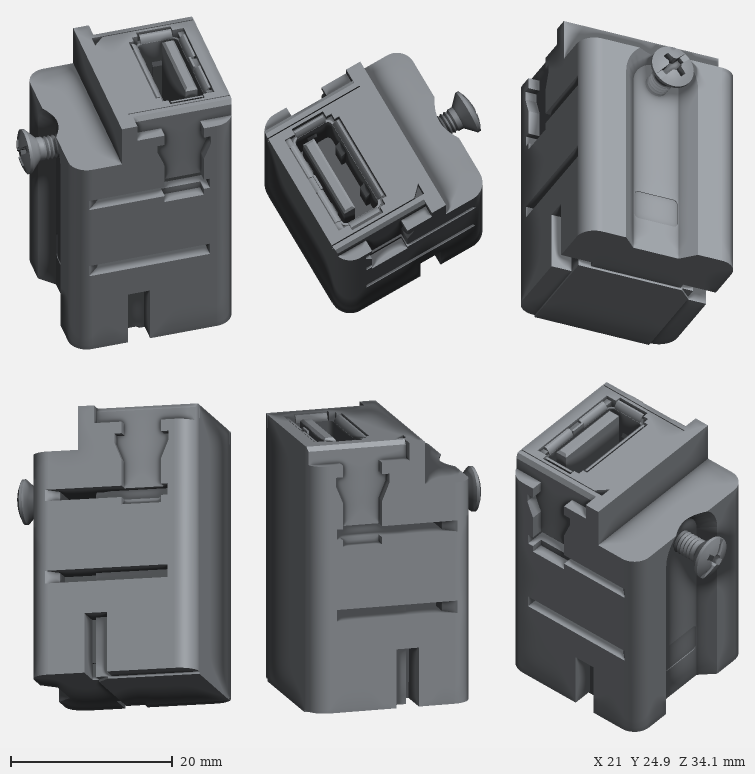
import cadquery as cq
import math

WIDTH = 21.0
HEIGHT = 34.1
DEPTH = 21.0
HALF_WIDTH = WIDTH / 2
BASE_Z = 0.3
STEP_Z = 28.58
STEP_Y = 6.25
FRONT_RADIUS = 2.4
BACK_RADIUS = 2.5

MODULE_HALF_WIDTH = 7.77
MODULE_FRONT_Y = 7.85
MODULE_GAP = 0.15
MODULE_GAP_DEPTH = 1.7
MODULE_TOP_CORNER = 1.35
MODULE_BOTTOM_CORNER = 1.5
MODULE_INSET = HALF_WIDTH - MODULE_HALF_WIDTH

RECESS_DEPTH = 1.55
RECESS_FRONT_Y = 8.25
RECESS_BOTTOM_Z = 31.85
RECESS_BEVEL_WIDTH = 0.45
RECESS_BEVEL_HEIGHT = 0.55
KEY_CENTER_Y = 14.3
KEY_NECK_HALF = 2.52
KEY_WIDE_HALF = 3.45
KEY_WIDE_TOP_Z = 30.4
KEY_WIDE_LOW_Z = 29.22
KEY_TAPER_END_Z = 27.0
KEY_BOTTOM_Z = 21.38

SLOT_FRONT_Y = 1.98
SLOT_RAMP = 1.57
SLOT_BACK_Y = 17.6
UPPER_SLOT_Z = (22.3, 23.75)
LOWER_SLOT_Z = (11.85, 13.47)
UPPER_SLOT_INSET = 8.85
LOWER_SLOT_INSET = 4.1
LEDGE_LENGTH = 1.43
LEDGE_SIZE = 0.38
NOTCH_FRONT_Y = 7.02
NOTCH_BACK_Y = 9.9
NOTCH_TOP_Z = 7.85
NOTCH_STEP_Z = 2.4
NOTCH_STEP = 0.35

CHANNEL_HALF_WIDTH = 4.88
CHANNEL_DEPTH = 1.8
CHANNEL_FLOOR_HALF = CHANNEL_HALF_WIDTH - CHANNEL_DEPTH
PLATE_WIDTH = 5.8
PLATE_BOTTOM_Z = 4.85
PLATE_HEIGHT = 3.92
PLATE_RADIUS = 0.55
PLATE_DEPTH = 0.1

SCREW_Z = 24.72
HEAD_RADIUS = 2.83
HEAD_TIP_Y = -3.95
HEAD_RIM_FRONT_Y = -3.25
HEAD_RIM_BACK_Y = -2.85
SHANK_FRONT_Y = -1.57
THREAD_FRONT_Y = -0.92
THREAD_RADIUS = 1.5
ROOT_RADIUS = 1.25
THREAD_PITCH = 0.5
BOSS_RADIUS = 3.0
CROSS_WIDTH = 0.85
CROSS_LENGTH = 3.38
CROSS_CORE_RADIUS = 0.85
CROSS_FLOOR_Y = -2.55
DRIVER_SLOT_FLOOR_Y = -3.27

SOCKET_CENTER_Y = 15.72
SHELL_WIDTH = 12.3
SHELL_HEIGHT = 5.15
SHELL_SHEET = 0.27
SHELL_CORNER = 0.6
SOCKET_DEPTH = 10.23
WELL_DEPTH = 1.35
WELL_WIDTH = 13.23
WELL_BACK_Y = 19.35
WELL_FRONT_Y = 12.65
SIDE_WELL_WIDTH = 14.8
SIDE_WELL_Y = (13.4, 17.87)
FRONT_WELL_WIDTH = 11.65
FRONT_WELL_Y = 12.0
SHELL_RIM_DROP = 0.95
LIP_DROP = 0.1
LIP_FLARE = 0.6
LIP_BEND_DROP = 0.4
LIP_BEND_REACH = 0.25
SIDE_LIP_LENGTH = 4.1
LONG_LIP_LENGTH = 11.05
BACK_LIP_SPLIT = 1.98
SHELF_DROP = 0.5
TONGUE_WIDTH = 10.13
TONGUE_Y = (16.05, 17.63)
TONGUE_DROP = 0.1
TONGUE_CHAMFER = 0.3
SPRING_X = 3.0
SPRING_WIDTH = 1.55
SPRING_HEIGHT = 0.58
SPRING_DROP = 4.1
BUMP_LENGTH = 1.25
BUMP_HEIGHT = 0.27
KEY_BUMP_WIDTH = 0.68
BUMP_STEEPNESS = 2.0


def block(x_range, y_range, z_range):
    """Axis-aligned box from its limits along X, Y and Z."""
    size = [abs(high - low) for low, high in (x_range, y_range, z_range)]
    corner = (min(x_range), min(y_range), min(z_range))
    return cq.Workplane("XY").box(*size, centered=False).translate(corner)


def both_sides(shape):
    """The shape together with its mirror image on the other side in X."""
    return shape.union(shape.mirror("YZ"))


def side_block(inset, y_range, z_range):
    """Box reaching inward from the -X side by the given inset."""
    return block((-HALF_WIDTH, -HALF_WIDTH + inset), y_range, z_range)


def housing():
    body = block((-HALF_WIDTH, HALF_WIDTH), (0, DEPTH), (BASE_Z, HEIGHT))
    body = body.edges("|Z and <Y").fillet(FRONT_RADIUS)
    body = body.edges("|Z and >Y").fillet(BACK_RADIUS)
    return body.cut(block((-HALF_WIDTH, HALF_WIDTH), (0, STEP_Y), (STEP_Z, HEIGHT)))


def module_corner(side, size, z_range):
    """Triangular prism at a front corner of the module."""
    x = side * MODULE_HALF_WIDTH
    corner = [(x, MODULE_FRONT_Y), (x - side * size, MODULE_FRONT_Y), (x, MODULE_FRONT_Y + size)]
    prism = cq.Workplane("XY").polyline(corner).close().extrude(z_range[1] - z_range[0])
    return prism.translate((0, 0, z_range[0]))


def module_gap():
    """Thin gap beside the module and the open triangle at its cut corner."""
    z_range = (HEIGHT - MODULE_GAP_DEPTH, HEIGHT)
    gap = block(
        (-MODULE_HALF_WIDTH - MODULE_GAP, -MODULE_HALF_WIDTH),
        (MODULE_FRONT_Y, DEPTH),
        z_range,
    )
    return both_sides(gap).union(module_corner(-1, MODULE_TOP_CORNER, z_range))


def module_base():
    """Underside of the module, standing proud below the housing."""
    z_range = (0, BASE_Z)
    base = block((-MODULE_HALF_WIDTH, MODULE_HALF_WIDTH), (MODULE_FRONT_Y, DEPTH), z_range)
    return base.cut(module_corner(1, MODULE_BOTTOM_CORNER, z_range))


def side_recess():
    """Recess along the top edge, beveled at the top, with the keyhole channel below."""
    wall_x = -HALF_WIDTH + RECESS_DEPTH
    recess = (
        cq.Workplane("XZ", origin=(0, DEPTH, 0))
        .moveTo(-HALF_WIDTH, RECESS_BOTTOM_Z)
        .lineTo(wall_x, RECESS_BOTTOM_Z)
        .lineTo(wall_x, HEIGHT - RECESS_BEVEL_HEIGHT)
        .lineTo(wall_x + RECESS_BEVEL_WIDTH, HEIGHT)
        .lineTo(-HALF_WIDTH, HEIGHT)
        .close()
        .extrude(DEPTH - RECESS_FRONT_Y)
    )
    half_outline = [
        (KEY_NECK_HALF, RECESS_BOTTOM_Z),
        (KEY_NECK_HALF, KEY_WIDE_TOP_Z),
        (KEY_WIDE_HALF, KEY_WIDE_TOP_Z),
        (KEY_WIDE_HALF, KEY_WIDE_LOW_Z),
        (KEY_NECK_HALF, KEY_TAPER_END_Z),
        (KEY_NECK_HALF, KEY_BOTTOM_Z),
    ]
    outline = half_outline + [(-y, z) for y, z in reversed(half_outline)]
    keyhole = (
        cq.Workplane("YZ", origin=(-HALF_WIDTH, KEY_CENTER_Y, 0))
        .polyline(outline)
        .close()
        .extrude(RECESS_DEPTH)
    )
    return recess.union(keyhole)


def side_slot(z_range, inset):
    """Slot with a 45 degree front ramp, shallow beside the module and deeper before it."""
    ramp_end_y = SLOT_FRONT_Y + SLOT_RAMP
    floor_x = -HALF_WIDTH + inset
    module_x = -MODULE_HALF_WIDTH
    outline = [
        (-HALF_WIDTH, SLOT_FRONT_Y),
        (-HALF_WIDTH + SLOT_RAMP, ramp_end_y),
        (floor_x, ramp_end_y),
        (floor_x, MODULE_FRONT_Y),
        (module_x, MODULE_FRONT_Y),
        (module_x, SLOT_BACK_Y),
        (-HALF_WIDTH, SLOT_BACK_Y),
    ]
    slot = cq.Workplane("XY").polyline(outline).close().extrude(z_range[1] - z_range[0])
    return slot.translate((0, 0, z_range[0]))


def screw_boss():
    """Cylinder of material left standing around the screw axis inside the upper slot."""
    length = MODULE_FRONT_Y - SLOT_FRONT_Y
    return (
        cq.Workplane("XZ", origin=(0, MODULE_FRONT_Y, SCREW_Z))
        .circle(BOSS_RADIUS)
        .extrude(length)
    )


def module_ledge():
    """Sloped relief at the module edge under the roof of the upper slot."""
    top_z = UPPER_SLOT_Z[1]
    x = -MODULE_HALF_WIDTH
    return (
        cq.Workplane("XZ", origin=(0, MODULE_FRONT_Y + LEDGE_LENGTH, 0))
        .polyline([(x, top_z), (x, top_z - LEDGE_SIZE), (x + LEDGE_SIZE, top_z)])
        .close()
        .extrude(LEDGE_LENGTH)
    )


def bottom_notch():
    """Notch open at the bottom, deeper in front of the module and deepest at its foot."""
    front = (NOTCH_FRONT_Y, MODULE_FRONT_Y)
    notch = side_block(MODULE_INSET, (MODULE_FRONT_Y, NOTCH_BACK_Y), (BASE_Z, NOTCH_TOP_Z))
    notch = notch.union(side_block(LOWER_SLOT_INSET, front, (BASE_Z, NOTCH_TOP_Z)))
    return notch.union(side_block(LOWER_SLOT_INSET + NOTCH_STEP, front, (BASE_Z, NOTCH_STEP_Z)))


def side_cuts():
    cuts = side_recess()
    cuts = cuts.union(side_slot(UPPER_SLOT_Z, UPPER_SLOT_INSET).cut(screw_boss()))
    cuts = cuts.union(side_slot(LOWER_SLOT_Z, LOWER_SLOT_INSET))
    cuts = cuts.union(module_ledge())
    return cuts.union(bottom_notch())


def front_channel():
    """Channel with sloped flanks, closed at the top by a half cone round the screw axis."""
    section = [
        (-CHANNEL_HALF_WIDTH, 0),
        (-CHANNEL_FLOOR_HALF, CHANNEL_DEPTH),
        (CHANNEL_FLOOR_HALF, CHANNEL_DEPTH),
        (CHANNEL_HALF_WIDTH, 0),
    ]
    run = cq.Workplane("XY").polyline(section).close().extrude(SCREW_Z)
    cone = cq.Solid.makeCone(
        CHANNEL_HALF_WIDTH,
        CHANNEL_FLOOR_HALF,
        CHANNEL_DEPTH,
        pnt=cq.Vector(0, 0, SCREW_Z),
        dir=cq.Vector(0, 1, 0),
    )
    return run.union(cq.Workplane(obj=cone))


def name_plate():
    """Shallow rounded recess in the channel floor."""
    y_range = (CHANNEL_DEPTH, CHANNEL_DEPTH + PLATE_DEPTH)
    z_range = (PLATE_BOTTOM_Z, PLATE_BOTTOM_Z + PLATE_HEIGHT)
    plate = block((-PLATE_WIDTH / 2, PLATE_WIDTH / 2), y_range, z_range)
    return plate.edges("|Y").fillet(PLATE_RADIUS)


def screw():
    """Raised countersunk screw with ring threads, entering the channel floor."""
    turns = math.ceil((CHANNEL_DEPTH - THREAD_FRONT_Y) / THREAD_PITCH)
    dome_height = HEAD_RIM_FRONT_Y - HEAD_TIP_Y
    dome_radius = (HEAD_RADIUS**2 + dome_height**2) / (2 * dome_height)
    dome_x = HEAD_RADIUS / 2
    dome_y = HEAD_TIP_Y + dome_radius - math.sqrt(dome_radius**2 - dome_x**2)
    profile = (
        cq.Workplane("XY")
        .moveTo(0, HEAD_TIP_Y)
        .threePointArc((dome_x, dome_y), (HEAD_RADIUS, HEAD_RIM_FRONT_Y))
        .lineTo(HEAD_RADIUS, HEAD_RIM_BACK_Y)
        .lineTo(THREAD_RADIUS, SHANK_FRONT_Y)
        .lineTo(THREAD_RADIUS, THREAD_FRONT_Y)
    )
    for turn in range(turns):
        crest_y = THREAD_FRONT_Y + turn * THREAD_PITCH
        profile = profile.lineTo(ROOT_RADIUS, crest_y + THREAD_PITCH / 2)
        profile = profile.lineTo(THREAD_RADIUS, crest_y + THREAD_PITCH)
    profile = profile.lineTo(0, THREAD_FRONT_Y + turns * THREAD_PITCH).close()
    body = profile.revolve(360, (0, 0, 0), (0, 1, 0))

    arm = block(
        (-CROSS_LENGTH / 2, CROSS_LENGTH / 2),
        (HEAD_TIP_Y, CROSS_FLOOR_Y),
        (-CROSS_WIDTH / 2, CROSS_WIDTH / 2),
    )
    driver_slot = block(
        (-HEAD_RADIUS, HEAD_RADIUS),
        (HEAD_TIP_Y, DRIVER_SLOT_FLOOR_Y),
        (-CROSS_WIDTH / 2, CROSS_WIDTH / 2),
    )
    drive = arm.union(arm.rotate((0, 0, 0), (0, 1, 0), 90)).union(driver_slot)
    core = cq.Workplane("XZ", origin=(0, CROSS_FLOOR_Y, 0)).circle(CROSS_CORE_RADIUS)
    drive = drive.union(core.extrude(CROSS_FLOOR_Y - HEAD_TIP_Y))
    drive = drive.rotate((0, 0, 0), (0, 1, 0), -45)
    return body.cut(drive).translate((0, 0, SCREW_Z))


def shell_prism(offset, bottom_z, top_z):
    """Prism with the rounded outline of the shell, grown outward by an offset."""
    prism = (
        cq.Workplane("XY", origin=(0, SOCKET_CENTER_Y, bottom_z))
        .rect(SHELL_WIDTH + 2 * offset, SHELL_HEIGHT + 2 * offset)
        .extrude(top_z - bottom_z)
    )
    return prism.edges("|Z").fillet(SHELL_CORNER + offset)


def lip(length):
    """Curved sheet lip flaring toward +X from the shell's inner face at x = 0."""
    rim_z = HEIGHT - WELL_DEPTH
    top_z = HEIGHT - LIP_DROP
    mid_z = top_z - (top_z - rim_z) * LIP_BEND_DROP
    mid_x = LIP_FLARE * LIP_BEND_REACH
    return (
        cq.Workplane("XZ", origin=(0, length / 2, 0))
        .moveTo(0, rim_z)
        .threePointArc((mid_x, mid_z), (LIP_FLARE, top_z))
        .lineTo(LIP_FLARE + SHELL_SHEET, top_z)
        .threePointArc((mid_x + SHELL_SHEET, mid_z), (SHELL_SHEET, rim_z))
        .close()
        .extrude(length)
    )


def socket_well():
    """Clearance around the shell mouth, wider where the lips flare out."""
    z_range = (HEIGHT - WELL_DEPTH, HEIGHT)
    half = WELL_WIDTH / 2
    side_half = SIDE_WELL_WIDTH / 2
    front_half = FRONT_WELL_WIDTH / 2
    well = block((-half, half), (WELL_FRONT_Y, WELL_BACK_Y), z_range)
    well = well.union(block((-side_half, side_half), SIDE_WELL_Y, z_range))
    return well.union(block((-front_half, front_half), (FRONT_WELL_Y, WELL_FRONT_Y), z_range))


def back_shelves():
    """High shelves along the back of the well, left out where the back lips flare."""
    shelf_y = (SOCKET_CENTER_Y + SHELL_HEIGHT / 2 + SHELL_SHEET, WELL_BACK_Y)
    z_range = (HEIGHT - WELL_DEPTH, HEIGHT - SHELF_DROP)
    shelves = block((-BACK_LIP_SPLIT / 2, BACK_LIP_SPLIT / 2), shelf_y, z_range)
    return shelves.union(both_sides(block((LONG_LIP_LENGTH / 2, WELL_WIDTH / 2), shelf_y, z_range)))


def shell_mouth():
    """Shell rim standing in the well, with its flared lips."""
    well_z = HEIGHT - WELL_DEPTH
    rim = shell_prism(SHELL_SHEET, well_z, HEIGHT - SHELL_RIM_DROP)
    side_lip = lip(SIDE_LIP_LENGTH).translate((SHELL_WIDTH / 2, SOCKET_CENTER_Y, 0))
    long_lip = lip(LONG_LIP_LENGTH)
    back_y = SOCKET_CENTER_Y + SHELL_HEIGHT / 2
    front_y = SOCKET_CENTER_Y - SHELL_HEIGHT / 2
    back_lip = long_lip.rotate((0, 0, 0), (0, 0, 1), 90).translate((0, back_y, 0))
    front_lip = long_lip.rotate((0, 0, 0), (0, 0, 1), -90).translate((0, front_y, 0))
    split = (-BACK_LIP_SPLIT / 2, BACK_LIP_SPLIT / 2)
    back_lip = back_lip.cut(block(split, (back_y, WELL_BACK_Y), (well_z, HEIGHT)))
    center_tab = block(split, (back_y, back_y + SHELL_SHEET), (well_z, HEIGHT - LIP_DROP))
    mouth = rim.union(both_sides(side_lip)).union(front_lip)
    return mouth.union(back_lip).union(center_tab).union(back_shelves())


def sloped_bump(length, reach):
    """Bump reaching toward -X from a wall at x = 0, its top sloping down from the wall."""
    top_z = HEIGHT - SPRING_DROP
    floor_z = HEIGHT - SOCKET_DEPTH
    return (
        cq.Workplane("XZ", origin=(0, length / 2, 0))
        .polyline([(0, floor_z), (0, top_z), (-reach, top_z - BUMP_STEEPNESS * reach), (-reach, floor_z)])
        .close()
        .extrude(length)
    )


def socket_contacts():
    """Tongue with beveled tip, contact springs and guide bumps inside the shell."""
    half = TONGUE_WIDTH / 2
    half_shell = SHELL_HEIGHT / 2
    tongue = block((-half, half), TONGUE_Y, (HEIGHT - SOCKET_DEPTH, HEIGHT - TONGUE_DROP))
    tongue = tongue.faces(">Z").edges().chamfer(TONGUE_CHAMFER)

    origin = (0, 0, 0)
    spring = sloped_bump(SPRING_WIDTH, SPRING_HEIGHT)
    front_spring = spring.rotate(origin, (0, 0, 1), -90).translate((SPRING_X, -half_shell, 0))
    back_spring = spring.rotate(origin, (0, 0, 1), 90).translate((SPRING_X, half_shell, 0))
    side_bump = sloped_bump(BUMP_LENGTH, BUMP_HEIGHT).translate((SHELL_WIDTH / 2, 0, 0))
    key_bump = sloped_bump(KEY_BUMP_WIDTH, BUMP_HEIGHT)
    key_bump = key_bump.rotate(origin, (0, 0, 1), 90).translate((0, half_shell, 0))
    bumps = both_sides(front_spring.union(back_spring).union(side_bump)).union(key_bump)
    return tongue.union(bumps.translate((0, SOCKET_CENTER_Y, 0)))


def add_socket(body):
    body = body.cut(socket_well()).union(shell_mouth())
    body = body.cut(shell_prism(0, HEIGHT - SOCKET_DEPTH, HEIGHT))
    return body.union(socket_contacts())


part = housing()
part = part.cut(both_sides(side_cuts()))
part = part.union(module_base())
part = part.cut(module_gap())
part = part.cut(front_channel()).cut(name_plate())
part = add_socket(part)
result = part.union(screw())